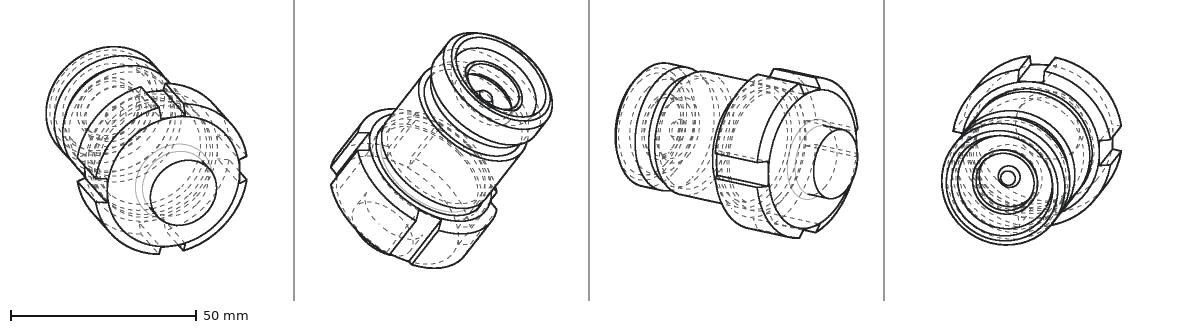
import cadquery as cq
import math


mouth_radius = 14
nose_radius = 17
nose_chamfer = 1.6
nose_face_radius = nose_radius - nose_chamfer
nose_end_x = 8.2
relief_start_x = 11.5

seal_x = 4
seal_ring_radius = 11
seal_section_radius = 2
seal_inner_radius = seal_ring_radius - seal_section_radius
seal_outer_radius = seal_ring_radius + seal_section_radius

socket_radius = 8
lip_end_x = 8.2
socket_floor_x = 9.6
socket_floor_radius = 9
pin_tip_x = 8
pin_tip_radius = 2
pin_base_radius = 3

barrel_radius = 17
barrel_start_x = 15
barrel_end_x = 35
neck_radius = 15.25

collar_start_x = 38
collar_end_x = 56
collar_radius = 22
collar_face_radius = 19
collar_chamfer_angle = 60
collar_chamfer_length = (collar_radius - collar_face_radius) / math.tan(math.radians(collar_chamfer_angle))
recess_radius = 17
recess_depth = 2
recess_floor_x = collar_start_x + recess_depth
slot_count = 4
slot_width = 7
slot_floor_radius = collar_face_radius

tail_radius = 9.5
tail_end_x = 64
root_fillet = 1.5


def revolve_about_x(profile):
    return profile.revolve(360, (0, 0, 0), (1, 0, 0))


def fillet_middle(center_x, center_radius, x_direction):
    """Middle point of a root fillet: the arc faces the axis and the given X direction."""
    offset = root_fillet * math.sqrt(0.5)
    return (center_x + x_direction * offset, center_radius - offset)


def make_turned_body():
    neck_fillet_center = (recess_floor_x - root_fillet, neck_radius + root_fillet)
    tail_fillet_center = (collar_end_x + root_fillet, tail_radius + root_fillet)
    profile = (
        cq.Workplane("XY")
        .moveTo(pin_tip_x, 0)
        .lineTo(pin_tip_x, pin_tip_radius)
        .lineTo(socket_floor_x, pin_base_radius)
        .lineTo(socket_floor_x, socket_floor_radius)
        .lineTo(lip_end_x, socket_radius)
        .lineTo(seal_x, socket_radius)
        .lineTo(seal_x, seal_inner_radius)
        .threePointArc((seal_x + seal_section_radius, seal_ring_radius), (seal_x, seal_outer_radius))
        .lineTo(0, mouth_radius)
        .lineTo(0, nose_face_radius)
        .lineTo(nose_chamfer, nose_radius)
        .lineTo(nose_end_x, nose_radius)
        .lineTo(relief_start_x, neck_radius)
        .lineTo(barrel_start_x, neck_radius)
        .lineTo(barrel_start_x, barrel_radius)
        .lineTo(barrel_end_x, barrel_radius)
        .lineTo(barrel_end_x, neck_radius)
        .lineTo(neck_fillet_center[0], neck_radius)
        .threePointArc(fillet_middle(*neck_fillet_center, 1), (recess_floor_x, neck_fillet_center[1]))
        .lineTo(recess_floor_x, recess_radius)
        .lineTo(collar_start_x, recess_radius)
        .lineTo(collar_start_x, collar_face_radius)
        .lineTo(collar_start_x + collar_chamfer_length, collar_radius)
        .lineTo(collar_end_x - collar_chamfer_length, collar_radius)
        .lineTo(collar_end_x, collar_face_radius)
        .lineTo(collar_end_x, tail_fillet_center[1])
        .threePointArc(fillet_middle(*tail_fillet_center, -1), (tail_fillet_center[0], tail_radius))
        .lineTo(tail_end_x, tail_radius)
        .lineTo(tail_end_x, 0)
        .close()
    )
    return revolve_about_x(profile)


def make_slot_cutter(angle):
    """Bar along the collar whose inner face is the floor of one spanner slot."""
    cutter = cq.Workplane("XY").box(
        collar_end_x - collar_start_x,
        slot_width,
        collar_radius - slot_floor_radius,
        centered=(False, True, False),
    )
    return cutter.translate((collar_start_x, 0, slot_floor_radius)).rotate((0, 0, 0), (1, 0, 0), angle)


def make_connector():
    body = make_turned_body()
    for index in range(slot_count):
        body = body.cut(make_slot_cutter(index * 360 / slot_count))
    return body.solids()


def make_seal_ring():
    section = cq.Workplane("XY").moveTo(seal_x, seal_ring_radius).circle(seal_section_radius)
    return revolve_about_x(section)


connector = make_connector()
seal_ring = make_seal_ring()

result = cq.Compound.makeCompound([connector.val(), seal_ring.val()])